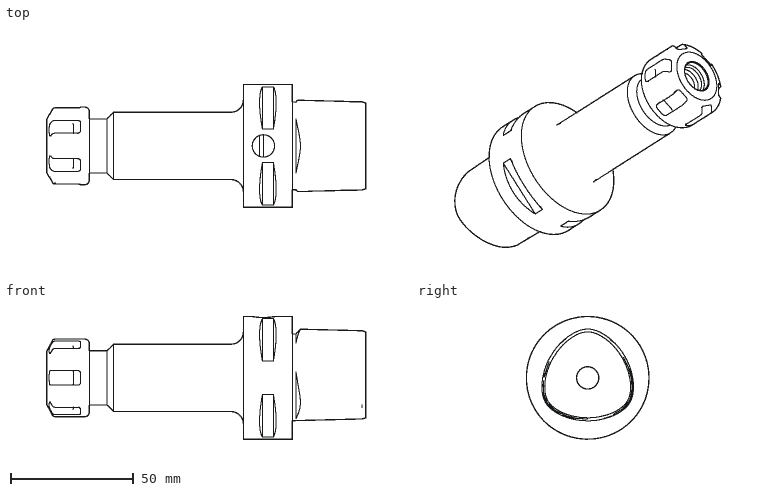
import cadquery as cq
import math

total_length = 130.0

nut_length = 17.4
nut_radius = 15.9
nut_face_radius = 10.8
nut_cone_start = (0.4, 11.6)
nut_cone_end = (2.2, 15.0)
nut_shoulder_middle = (2.7, 15.6)
nut_shoulder_end = 3.6
nut_rear_round = 2.0

wrench_slot_count = 6
wrench_floor_radius = 12.7
wrench_floor_end = 10.9
wrench_slot_end = 13.9
wrench_slot_width = 6.0
wrench_floor_fillet = 0.85

mouth_radius = 6.6
collet_radius = 12.6 / 2
collet_depth = 2.6
throat_radius = 11.0 / 2
throat_end = 5.5
through_radius = 9.0 / 2

neck_radius = 11.0
neck_end = 24.6
body_radius = 13.8
body_start = neck_end + body_radius - neck_radius

flange_radius = 50.0 / 2
flange_width = 20.0
flange_start = 80.1
flange_end = flange_start + flange_width
flange_middle = flange_start + flange_width / 2
flange_fillet = 5.0

gripper_angles = (45, 135, 225, 315)
gripper_floor_radius = 21.8
gripper_floor_width = 4.4
gripper_mouth_width = 6.8

top_hole_diameter = 9.1
top_hole_x = 88.3
core_small_radius = 21.0 / 2
core_large_radius = 24.0 / 2
core_cone_end = top_hole_x
core_cone_start = core_cone_end - (core_large_radius - core_small_radius)

shank_mean_radius = 18.7
lobe_height = 1.24
taper_per_length = 0.025
end_chamfer_length = 1.5
end_chamfer_height = 0.5

relief_radius = 18.0
relief_width = 1.4
relief_slope_length = 2.0
relief_slope_height = 2.1

overshoot = 1.3


def turned_body():
    """Nut, neck, body and flange turned about X."""
    round_offset = nut_rear_round * (1 - math.sqrt(0.5))
    fillet_offset = flange_fillet * (1 - math.sqrt(0.5))
    return (
        cq.Workplane("XY")
        .moveTo(0, 0)
        .lineTo(0, nut_face_radius)
        .lineTo(*nut_cone_start)
        .lineTo(*nut_cone_end)
        .threePointArc(nut_shoulder_middle, (nut_shoulder_end, nut_radius))
        .lineTo(nut_length - nut_rear_round, nut_radius)
        .threePointArc(
            (nut_length - round_offset, nut_radius - round_offset),
            (nut_length, nut_radius - nut_rear_round),
        )
        .lineTo(nut_length, neck_radius)
        .lineTo(neck_end, neck_radius)
        .lineTo(body_start, body_radius)
        .lineTo(flange_start - flange_fillet, body_radius)
        .threePointArc(
            (flange_start - fillet_offset, body_radius + fillet_offset),
            (flange_start, body_radius + flange_fillet),
        )
        .lineTo(flange_start, flange_radius)
        .lineTo(flange_end, flange_radius)
        .lineTo(flange_end, 0)
        .close()
        .revolve(360, (0, 0, 0), (1, 0, 0))
    )


def lobe_point(x, mean_radius, angle):
    """Point of the three-lobed curve whose outward normal has the given angle from +Z."""
    reach = mean_radius + lobe_height * math.cos(3 * angle)
    slope = -3 * lobe_height * math.sin(3 * angle)
    y = reach * math.sin(angle) + slope * math.cos(angle)
    z = reach * math.cos(angle) - slope * math.sin(angle)
    return cq.Vector(x, y, z)


def lobed_outline(x, mean_radius):
    """Closed section of the shank: one spline per lobe, joined at the flattest places."""
    spans_per_lobe = 16
    lobe_angle = 2 * math.pi / 3
    edges = []
    for lobe in range(3):
        start = (lobe - 0.5) * lobe_angle
        angles = [start + i * lobe_angle / spans_per_lobe for i in range(spans_per_lobe + 1)]
        ends = [cq.Vector(0, math.cos(a), -math.sin(a)) for a in (angles[0], angles[-1])]
        points = [lobe_point(x, mean_radius, a) for a in angles]
        edges.append(cq.Edge.makeSpline(points, tangents=ends))
    return cq.Wire.assembleEdges(edges)


def lobed_shank():
    """Tapered shank, chamfered at its free end and relieved next to the flange."""
    end_chamfer_x = total_length - end_chamfer_length
    end_radius = shank_mean_radius - taper_per_length * (end_chamfer_x - flange_end)
    sections = [
        lobed_outline(flange_end, shank_mean_radius),
        lobed_outline(end_chamfer_x, end_radius),
        lobed_outline(total_length, end_radius - end_chamfer_height),
    ]
    relief_end = flange_end + relief_width
    relief = (
        cq.Workplane("XY")
        .polyline([
            (flange_end, relief_radius),
            (relief_end, relief_radius),
            (relief_end + relief_slope_length, relief_radius + relief_slope_height),
            (flange_end, relief_radius + relief_slope_height),
        ])
        .close()
        .revolve(360, (0, 0, 0), (1, 0, 0))
    )
    return cq.Workplane(cq.Solid.makeLoft(sections, True)).cut(relief)


def wrench_slot():
    """Slot in the nut with filleted floor sides, open at the front, rising on a slope at the rear."""
    run_out = (wrench_slot_end - wrench_floor_end) / (nut_radius - wrench_floor_radius)
    return (
        cq.Workplane("XZ")
        .polyline([
            (-overshoot, wrench_floor_radius),
            (wrench_floor_end, wrench_floor_radius),
            (wrench_slot_end + run_out * overshoot, nut_radius + overshoot),
            (-overshoot, nut_radius + overshoot),
        ])
        .close()
        .extrude(wrench_slot_width / 2, both=True)
        .edges("<Y or >Y")
        .fillet(wrench_floor_fillet)
    )


def gripper_slot():
    """Straight slot with sloping flanks, across the flange rim."""
    depth = flange_radius - gripper_floor_radius
    flank_slope = (gripper_mouth_width - gripper_floor_width) / 2 / depth
    outer_half_width = gripper_mouth_width / 2 + flank_slope * overshoot
    return (
        cq.Workplane("XZ")
        .center(flange_middle, 0)
        .polyline([
            (-gripper_floor_width / 2, gripper_floor_radius),
            (gripper_floor_width / 2, gripper_floor_radius),
            (outer_half_width, flange_radius + overshoot),
            (-outer_half_width, flange_radius + overshoot),
        ])
        .close()
        .extrude(flange_radius, both=True)
    )


def top_hole():
    """Round hole from the top of the flange down to the stepped core."""
    hole = (
        cq.Workplane("XY")
        .center(top_hole_x, 0)
        .circle(top_hole_diameter / 2)
        .extrude(flange_radius + overshoot)
    )
    core = (
        cq.Workplane("XY")
        .polyline([
            (flange_start, 0),
            (flange_start, core_small_radius),
            (core_cone_start, core_small_radius),
            (core_cone_end, core_large_radius),
            (flange_end, core_large_radius),
            (flange_end, 0),
        ])
        .close()
        .revolve(360, (0, 0, 0), (1, 0, 0))
    )
    return hole.cut(core)


def bore():
    """Chamfered collet mouth, throat and through hole, joined by 45 degree cones."""
    return (
        cq.Workplane("XY")
        .polyline([
            (0, 0),
            (0, mouth_radius),
            (mouth_radius - collet_radius, collet_radius),
            (collet_depth, collet_radius),
            (collet_depth + collet_radius - throat_radius, throat_radius),
            (throat_end, throat_radius),
            (throat_end + throat_radius - through_radius, through_radius),
            (total_length, through_radius),
            (total_length, 0),
        ])
        .close()
        .revolve(360, (0, 0, 0), (1, 0, 0))
    )


result = turned_body().union(lobed_shank())

for i in range(wrench_slot_count):
    turn = 90 + i * 360 / wrench_slot_count
    result = result.cut(wrench_slot().rotate((0, 0, 0), (1, 0, 0), turn))

for turn in gripper_angles:
    result = result.cut(gripper_slot().rotate((0, 0, 0), (1, 0, 0), turn))

result = result.cut(top_hole()).cut(bore())